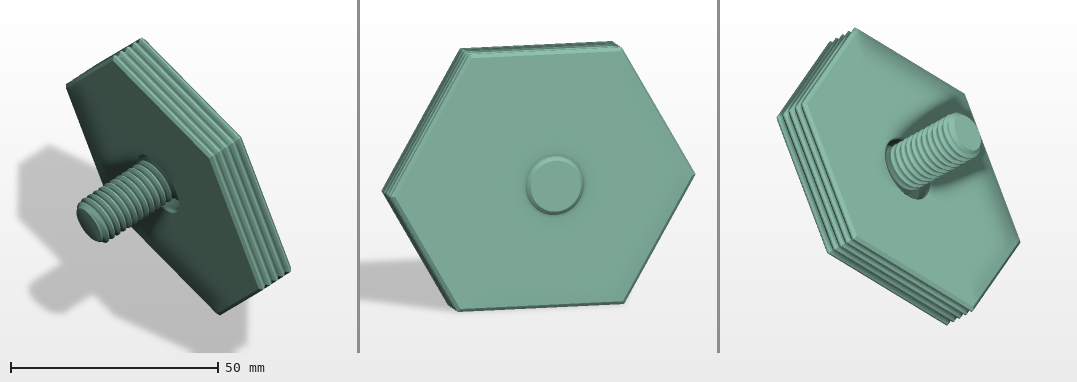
import cadquery as cq
import math

plate_width = 76.2
side_count = 6
turn = math.radians(360 / side_count)
nearest_side = 30
corner_steps = sum(nearest_side + i for i in (1, 2, 4, 5))
side_step = plate_width * math.sin(turn) * 2 / corner_steps
plate_thickness = 10.0

ridge_count = 5
ridge_crest = 0.4
groove_depth = 0.85
ridge_pitch = 2 * groove_depth + ridge_crest
edge_chamfer = (plate_thickness - (ridge_count - 1) * ridge_pitch - ridge_crest) / 2

bore_diameter = 15.85
bore_depth = 4.0
bore_chamfer = 0.3

screw_x = -1.0
thread_diameter = 12.05
thread_pitch = 1.75
thread_depth = 1.2
thread_crest = 0.2
groove_half_width = (thread_pitch - thread_crest) / 2
thread_phase = 227
shank_length = 20.65
tip_chamfer = 1.4

head_diameter = 14.5
head_height = 1.0
head_edge_angle = 45


def hexagon(inset, y):
    """Closed outline of the plate at depth y, with every side moved inwards by the inset."""
    corners = []
    for i in range(side_count):
        near = (nearest_side + i) * side_step - inset
        far = (nearest_side + (i + 1) % side_count) * side_step - inset
        normal = -math.pi / 2 - i * turn
        along = (far - near * math.cos(turn)) / math.sin(turn)
        x = near * math.cos(normal) + along * math.sin(normal)
        z = near * math.sin(normal) - along * math.cos(normal)
        corners.append(cq.Vector(x, y, z))
    return cq.Wire.makePolygon(corners, close=True)


def cylinder(diameter, y_start, y_end, x=0.0, taper=0):
    """Round bar along Y that narrows towards its far end by the taper angle."""
    base = cq.Workplane("XZ", origin=(x, y_start, 0))
    return base.circle(diameter / 2).extrude(y_start - y_end, taper=taper)


def rim_profile():
    """Insets and depths of the rim from the front edge to the back edge."""
    profile = [(groove_depth, 0.0)]
    for i in range(ridge_count):
        crest_start = edge_chamfer + i * ridge_pitch
        crest_end = crest_start + ridge_crest
        profile += [(0.0, crest_start), (0.0, crest_end)]
        if i < ridge_count - 1:
            profile.append((groove_depth, crest_end + groove_depth))
    profile.append((groove_depth, plate_thickness))
    return profile


def make_plate():
    """Ridged hexagon with a chamfered blind bore and a hole for the neck of the screw."""
    outlines = [hexagon(inset, y) for inset, y in rim_profile()]
    plate = cq.Workplane(cq.Solid.makeLoft(outlines, True))
    plate = plate.cut(cylinder(bore_diameter, 0, bore_depth))
    plate = plate.faces("<Y").edges("%CIRCLE").chamfer(bore_chamfer)
    return plate.cut(cylinder(thread_diameter, bore_depth, plate_thickness, screw_x))


def thread_groove(length):
    """Helical V groove along Z that runs past both ends of a thread of the given length."""
    crest_radius = thread_diameter / 2
    root_radius = crest_radius - thread_depth
    outer_radius = crest_radius + thread_depth
    profile = [
        (root_radius, 0),
        (crest_radius, -groove_half_width),
        (outer_radius, -groove_half_width),
        (outer_radius, groove_half_width),
        (crest_radius, groove_half_width),
    ]
    turns = math.ceil(length / thread_pitch) + 2
    height = turns * thread_pitch
    helices = [
        cq.Wire.makeHelix(thread_pitch, height, radius).translate(cq.Vector(0, 0, z))
        for radius, z in profile
    ]
    faces = []
    for helix, next_helix in zip(helices, helices[1:] + helices[:1]):
        faces += cq.Face.makeRuledSurface(helix, next_helix).Faces()
    for end in (0, height):
        corners = [cq.Vector(radius, 0, z + end) for radius, z in profile]
        faces.append(cq.Face.makeFromWires(cq.Wire.makePolygon(corners, close=True)))
    groove = cq.Solid.makeSolid(cq.Shell.makeShell(faces)).fix()
    return cq.Workplane(groove).translate((0, 0, -thread_pitch))


def make_screw():
    """Threaded shank down to the bore floor, plain neck through the plate and head behind it."""
    thread_end = shank_length + bore_depth
    thread = cq.Workplane("XY").circle(thread_diameter / 2).extrude(thread_end)
    thread = thread.faces("<Z").chamfer(tip_chamfer)
    groove = thread_groove(thread_end).rotate((0, 0, 0), (0, 0, 1), thread_phase)
    thread = thread.cut(groove)
    thread = thread.rotate((0, 0, 0), (1, 0, 0), -90).translate((screw_x, -shank_length, 0))
    neck = cylinder(thread_diameter, bore_depth, plate_thickness, screw_x)
    head_end = plate_thickness + head_height
    head = cylinder(head_diameter, plate_thickness, head_end, screw_x, head_edge_angle)
    return thread.union(neck).union(head)


plate = make_plate()
screw = make_screw()
result = cq.Compound.makeCompound([plate.solids().val(), screw.solids().val()])